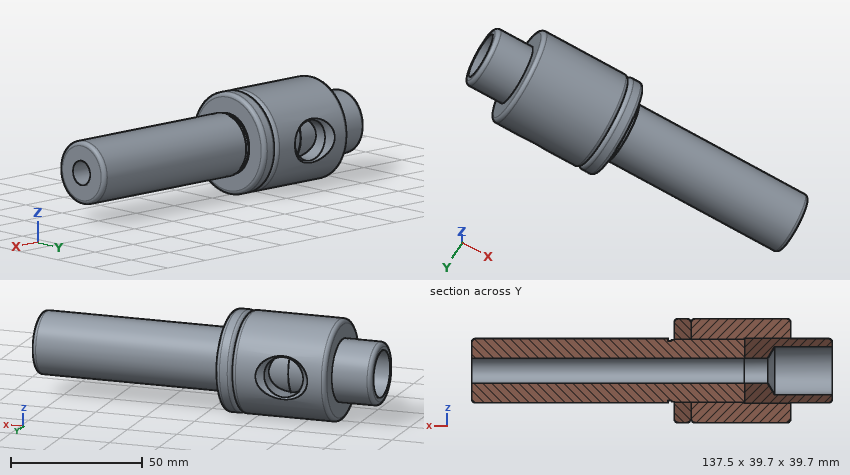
import cadquery as cq
import math

TOTAL_LENGTH = 137.5
INLET_END_X = -TOTAL_LENGTH / 2
OUTLET_END_X = TOTAL_LENGTH / 2
EDGE_RADIUS = 1.7

BODY_DIAMETER = 39.7
NOZZLE_OVERHANG = 15.8
HOUSING_LENGTH = 38.1
RING_LENGTH = 6.5
HOUSING_START_X = INLET_END_X + NOZZLE_OVERHANG
RING_START_X = HOUSING_START_X + HOUSING_LENGTH
RING_END_X = RING_START_X + RING_LENGTH

PORT_DIAMETER = 15.8
PORT_RIM_DIAMETER = 21.0
PORT_OFFSET = 33.5
PORT_X = INLET_END_X + PORT_OFFSET

TUBE_DIAMETER = 24.6
JOINT_X = PORT_X
THROAT_DIAMETER = 9.5
INLET_DIAMETER = 18.3
INLET_DEPTH = 22.0
DRILL_POINT_ANGLE = 118.0
DRILL_POINT_DEPTH = (INLET_DIAMETER - THROAT_DIAMETER) / 2 / math.tan(
    math.radians(DRILL_POINT_ANGLE / 2)
)

SPIGOT_DIAMETER = 23.8
NECK_DIAMETER = 22.8
NECK_CHAMFER = (SPIGOT_DIAMETER - NECK_DIAMETER) / 2
SPIGOT_OVERHANG = 0.7
SPIGOT_END_X = RING_END_X + SPIGOT_OVERHANG
SHOULDER_OVERHANG = 2.2
SHOULDER_X = RING_END_X + SHOULDER_OVERHANG


def cylinder(start_x, end_x, diameter):
    """Cylinder on the X axis between two X positions."""
    return (
        cq.Workplane("YZ", origin=(start_x, 0, 0))
        .circle(diameter / 2)
        .extrude(end_x - start_x)
    )


def revolve_profile(points, axis):
    """Solid of revolution, about an axis through the origin, of (x, y) points."""
    return cq.Workplane("XY").polyline(points).close().revolve(360, (0, 0, 0), axis)


def make_port_cutter():
    """Radial port on the +Y side, widening at 45 degrees towards the rim."""
    rim_radius = PORT_RIM_DIAMETER / 2
    port_radius = PORT_DIAMETER / 2
    rim_y = BODY_DIAMETER / 2
    cutter = revolve_profile([
        (0, 0),
        (port_radius, 0),
        (port_radius, rim_y - (rim_radius - port_radius)),
        (rim_radius, rim_y),
        (0, rim_y),
    ], (0, 1, 0))
    return cutter.translate((PORT_X, 0, 0))


def make_housing():
    """Round housing with a stepped bore for the two tubes and a side port."""
    housing = cylinder(HOUSING_START_X, RING_START_X, BODY_DIAMETER).edges().fillet(EDGE_RADIUS)
    nozzle_bore = cylinder(HOUSING_START_X, JOINT_X, TUBE_DIAMETER)
    spigot_bore = cylinder(JOINT_X, RING_START_X, SPIGOT_DIAMETER)
    return housing.cut(nozzle_bore).cut(spigot_bore).cut(make_port_cutter())


def make_lock_ring():
    """Rounded ring on the spigot, seated against the housing."""
    ring = cylinder(RING_START_X, RING_END_X, BODY_DIAMETER).edges().fillet(EDGE_RADIUS)
    return ring.cut(cylinder(RING_START_X, RING_END_X, SPIGOT_DIAMETER))


def make_nozzle():
    """Inlet tube with a drilled bore that ends in a cone around the throat hole."""
    nozzle = cylinder(INLET_END_X, JOINT_X, TUBE_DIAMETER).edges("<X").fillet(EDGE_RADIUS)
    inlet_floor_x = INLET_END_X + INLET_DEPTH
    bore = revolve_profile([
        (INLET_END_X, 0),
        (INLET_END_X, INLET_DIAMETER / 2),
        (inlet_floor_x, INLET_DIAMETER / 2),
        (inlet_floor_x + DRILL_POINT_DEPTH, THROAT_DIAMETER / 2),
        (JOINT_X, THROAT_DIAMETER / 2),
        (JOINT_X, 0),
    ], (1, 0, 0))
    return nozzle.cut(bore)


def make_outlet_tube():
    """Long tube with a stepped, chamfered spigot held by the housing and ring."""
    spigot = cylinder(JOINT_X, SPIGOT_END_X + NECK_CHAMFER, SPIGOT_DIAMETER)
    spigot = spigot.edges(">X").chamfer(NECK_CHAMFER)
    neck = cylinder(SPIGOT_END_X, SHOULDER_X, NECK_DIAMETER)
    shank = cylinder(SHOULDER_X, OUTLET_END_X, TUBE_DIAMETER).edges(">X").fillet(EDGE_RADIUS)
    bore = cylinder(JOINT_X, OUTLET_END_X, THROAT_DIAMETER)
    return spigot.union(neck).union(shank).cut(bore)


housing = make_housing()
lock_ring = make_lock_ring()
nozzle = make_nozzle()
outlet_tube = make_outlet_tube()

bodies = [housing, lock_ring, nozzle, outlet_tube]
result = cq.Compound.makeCompound([body.solids().val() for body in bodies])